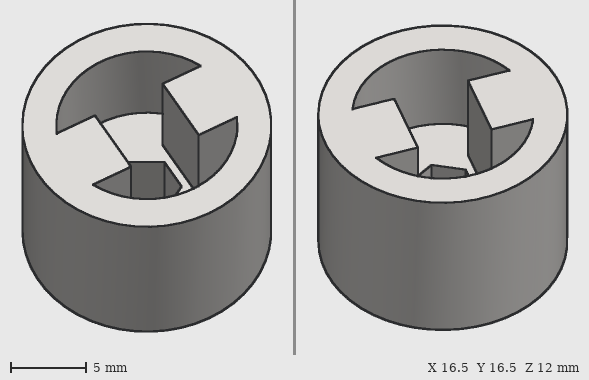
import cadquery as cq

outer_diameter = 16.5
height = 12.0

pocket_diameter = 12.0
pocket_depth = 7.0
key_width = 4.8
key_gap = 5.16

hex_across_corners = 4.6


def make_key(side):
    """Full-depth key on the +Y (side=1) or -Y (side=-1) wall of the pocket."""
    wall_overlap = (outer_diameter - pocket_diameter) / 4
    key_length = (pocket_diameter - key_gap) / 2 + wall_overlap
    center_y = side * (key_gap + key_length) / 2
    return (
        cq.Workplane("XY")
        .workplane(offset=height - pocket_depth)
        .center(0, center_y)
        .rect(key_width, key_length)
        .extrude(pocket_depth)
    )


body = cq.Workplane("XY").circle(outer_diameter / 2).extrude(height)

pocket = (
    cq.Workplane("XY")
    .workplane(offset=height - pocket_depth)
    .circle(pocket_diameter / 2)
    .extrude(pocket_depth)
)
for side in (-1, 1):
    pocket = pocket.cut(make_key(side))

hex_hole = cq.Workplane("XY").polygon(6, hex_across_corners).extrude(height - pocket_depth)

result = body.cut(pocket).cut(hex_hole)